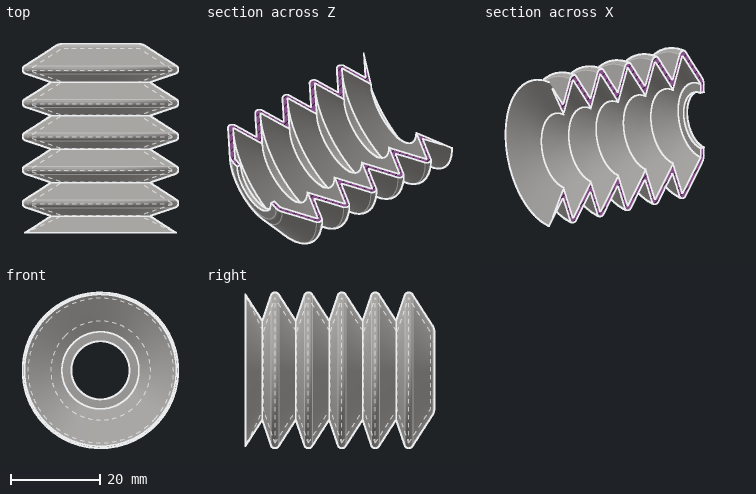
import cadquery as cq
import math


overall_length = 42.47
fold_count = 5
fold_pitch = 7.5

crest_radius = 17.5
crest_round = 1.0
groove_radius = 11.15
crest_rise = 2.86
rim_round = 3.0

inner_groove_radius = 8.65
end_wall = 1.0
end_hole_radius = 6.5

crest_centre_radius = crest_radius - crest_round


def flank_angle(axial_distance):
    """Angle from radial of a flank running from a groove to its tangent point on a crest round."""
    radial_distance = crest_centre_radius - groove_radius
    centre_distance = math.hypot(radial_distance, axial_distance)
    return math.atan2(axial_distance, radial_distance) - math.asin(crest_round / centre_distance)


front_angle = flank_angle(crest_rise)
rear_angle = flank_angle(fold_pitch - crest_rise)

lip_radius = crest_centre_radius + crest_round * math.sin(rear_angle)
first_groove_y = (lip_radius - groove_radius) * math.tan(rear_angle)

end_wall_y = overall_length - end_wall
lip_depth = end_wall_y - fold_count * fold_pitch

inner_crest_height = fold_pitch / (math.tan(front_angle) + math.tan(rear_angle))
inner_crest_radius = inner_groove_radius + inner_crest_height
inner_crest_rise = inner_crest_height * math.tan(front_angle)


def crest_points(centre_y):
    """Start, middle and end of a crest round."""
    start = (
        crest_centre_radius + crest_round * math.sin(front_angle),
        centre_y - crest_round * math.cos(front_angle),
    )
    middle = (crest_radius, centre_y)
    end = (
        crest_centre_radius + crest_round * math.sin(rear_angle),
        centre_y + crest_round * math.cos(rear_angle),
    )
    return start, middle, end


def rim_points():
    """Start, middle and end of the arc rounding the last flank into the closed end."""
    last_groove_y = first_groove_y + fold_count * fold_pitch
    corner_radius = groove_radius - (overall_length - last_groove_y) / math.tan(rear_angle)
    centre_radius = corner_radius - rim_round * math.tan(rear_angle / 2)
    centre_y = overall_length - rim_round

    def on_arc(angle):
        return (
            centre_radius + rim_round * math.sin(angle),
            centre_y + rim_round * math.cos(angle),
        )

    return on_arc(rear_angle), on_arc(rear_angle / 2), on_arc(0)


def outer_body():
    """Solid bounded by the outer wall, from the lip to the closed end."""
    profile = cq.Workplane("XY").lineTo(lip_radius, 0)
    for fold in range(fold_count):
        groove_y = first_groove_y + fold * fold_pitch
        start, middle, end = crest_points(groove_y + crest_rise)
        profile = profile.lineTo(groove_radius, groove_y).lineTo(*start).threePointArc(middle, end)
    start, middle, end = rim_points()
    profile = profile.lineTo(*start).threePointArc(middle, end).lineTo(0, overall_length)
    return profile.close().revolve(360, (0, 0), (0, 1))


def cavity():
    """Space inside the bellows, from the lip to the inner face of the end wall."""
    profile = cq.Workplane("XY").lineTo(lip_radius, 0).lineTo(inner_groove_radius, lip_depth)
    for fold in range(fold_count):
        groove_y = lip_depth + fold * fold_pitch
        profile = profile.lineTo(inner_crest_radius, groove_y + inner_crest_rise)
        profile = profile.lineTo(inner_groove_radius, groove_y + fold_pitch)
    profile = profile.lineTo(0, end_wall_y)
    return profile.close().revolve(360, (0, 0), (0, 1))


def end_hole():
    """Hole through the end wall."""
    return cq.Workplane("XZ").circle(end_hole_radius).extrude(-overall_length)


result = outer_body().cut(cavity()).cut(end_hole())